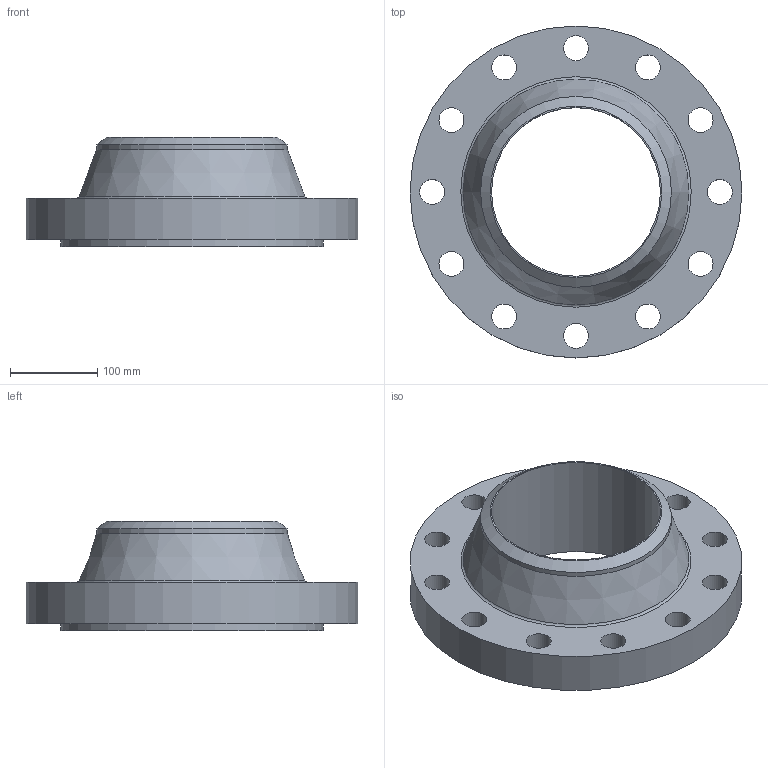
import math

import cadquery as cq

flange_diameter = 381.0
overall_height = 125.3
face_height = 8.0
flange_thickness = 47.6

face_diameter = 301.6

bolt_circle_diameter = 330.2
bolt_hole_diameter = 28.6
bolt_hole_count = 12

hub_base_diameter = 260.4
hub_fillet_radius = 3.0
neck_diameter = 219.1
neck_band_height = 5.5
bore_diameter = 193.7

bevel_angle = 37.5
land_width = 1.6

flange_top = face_height + flange_thickness
bore_radius = bore_diameter / 2
neck_radius = neck_diameter / 2
hub_base_radius = hub_base_diameter / 2
land_radius = bore_radius + land_width
bevel_height = (neck_radius - land_radius) * math.tan(math.radians(bevel_angle))
bevel_bottom = overall_height - bevel_height
taper_top = bevel_bottom - neck_band_height


def make_flange_body():
    """Revolved ring: raised face, flange, tapered hub and bevelled neck."""
    profile = (
        cq.Workplane("XZ")
        .moveTo(bore_radius, 0)
        .lineTo(face_diameter / 2, 0)
        .lineTo(face_diameter / 2, face_height)
        .lineTo(flange_diameter / 2, face_height)
        .lineTo(flange_diameter / 2, flange_top)
        .lineTo(hub_base_radius, flange_top)
        .lineTo(neck_radius, taper_top)
        .lineTo(neck_radius, bevel_bottom)
        .lineTo(land_radius, overall_height)
        .lineTo(bore_radius, overall_height)
        .close()
    )
    return profile.revolve(360, (0, 0, 0), (0, 1, 0))


def fillet_hub_root(body):
    """Round the inner corner where the hub meets the flange."""
    margin = hub_fillet_radius
    root_zone = cq.selectors.BoxSelector(
        (-margin, -margin, flange_top - margin),
        (margin, margin, flange_top + margin),
    )
    root_circle = cq.selectors.RadiusNthSelector(0)
    return body.edges("%CIRCLE").edges(root_zone).edges(root_circle).fillet(hub_fillet_radius)


def make_bolt_holes():
    """Through cutters, with the first hole on the X axis."""
    return (
        cq.Workplane("XY")
        .polarArray(bolt_circle_diameter / 2, 0, 360, bolt_hole_count)
        .circle(bolt_hole_diameter / 2)
        .extrude(flange_top)
    )


result = fillet_hub_root(make_flange_body()).cut(make_bolt_holes())